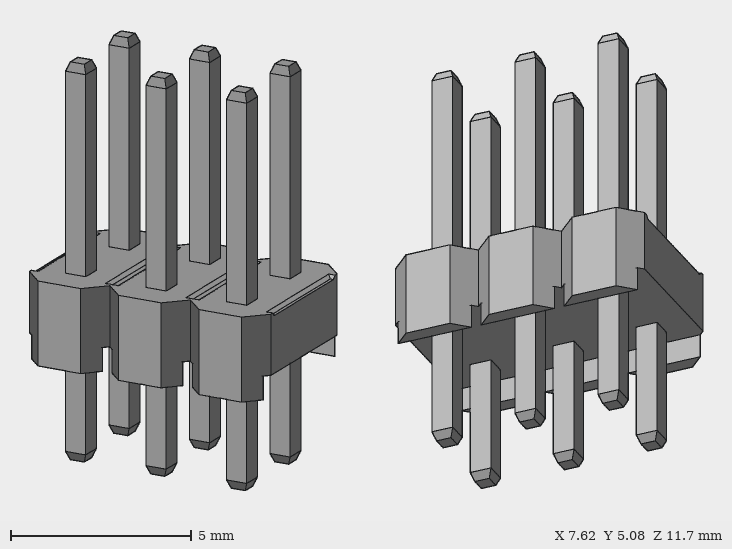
import cadquery as cq

pitch = 2.54
columns = 3
rows = 2

body_length = columns * pitch
body_width = rows * pitch
body_height = 2.5
corner_chamfer = 0.6

foot_thickness = 0.45
foot_height = 0.7

groove_width = 0.4
groove_length = 3.64
groove_depth = 0.1
groove_taper = 45

pin_size = 0.64
pin_tip_size = 0.44
pin_tip_length = 0.26
pin_above_body = 6.2
pin_below_body = 3.0

column_centres = [(i - (columns - 1) / 2) * pitch for i in range(columns)]
row_centres = [(j - (rows - 1) / 2) * pitch for j in range(rows)]
column_boundaries = [(i - columns / 2) * pitch for i in range(columns + 1)]


def make_cell(x):
    """One column of the body: a block with its four vertical edges chamfered."""
    return (
        cq.Workplane("XY")
        .box(pitch, body_width, body_height, centered=(True, True, False))
        .edges("|Z")
        .chamfer(corner_chamfer)
        .translate((x, 0, 0))
    )


def make_channel():
    """Underside channel, open at both ends of the body."""
    channel_width = body_width - 2 * foot_thickness
    return cq.Workplane("XY").box(
        body_length, channel_width, foot_height, centered=(True, True, False)
    )


def make_groove(x):
    """Groove cutter that narrows downwards from the top face."""
    return (
        cq.Workplane("XY", origin=(x, 0, body_height))
        .rect(groove_width, groove_length)
        .extrude(-groove_depth, taper=groove_taper)
    )


def make_tip(x, y, base_z, end_z):
    """Tapered pin tip running from base_z to its small end at end_z."""
    return (
        cq.Workplane("XY", origin=(x, y, base_z))
        .rect(pin_size, pin_size)
        .workplane(offset=end_z - base_z)
        .rect(pin_tip_size, pin_tip_size)
        .loft(ruled=True)
    )


def make_pin(x, y):
    """Square pin through the body, tapered at both ends."""
    bottom = -pin_below_body
    top = body_height + pin_above_body
    shank_bottom = bottom + pin_tip_length
    shank_top = top - pin_tip_length
    shank = (
        cq.Workplane("XY", origin=(x, y, shank_bottom))
        .rect(pin_size, pin_size)
        .extrude(shank_top - shank_bottom)
    )
    lower_tip = make_tip(x, y, shank_bottom, bottom)
    upper_tip = make_tip(x, y, shank_top, top)
    return shank.union(lower_tip).union(upper_tip)


def make_body():
    """Joined columns with the underside channel and top grooves removed."""
    body = make_cell(column_centres[0])
    for x in column_centres[1:]:
        body = body.union(make_cell(x))
    body = body.cut(make_channel())
    for x in column_boundaries:
        body = body.cut(make_groove(x))
    return body.clean()


result = make_body()
for pin_x in column_centres:
    for pin_y in row_centres:
        result = result.union(make_pin(pin_x, pin_y))